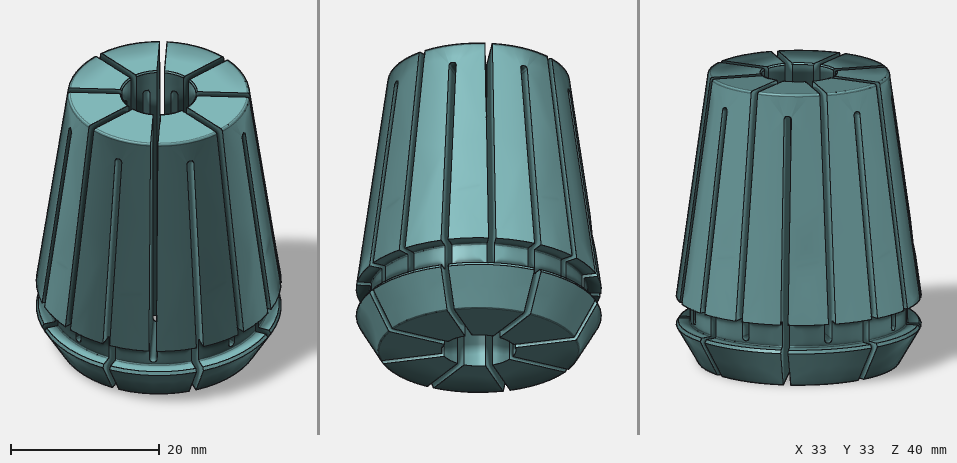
import cadquery as cq
import math

total_height = 40.0
max_radius = 16.5
bore_diameter = 10.0

cone_base_z = 9.1
cone_half_angle = math.radians(7.9)
top_edge_fillet = 0.3
bore_edge_chamfer = 0.2

groove_radius = 14.6
groove_floor_z = 5.55
groove_corner_fillet = 0.15

flange_rim_z = 5.1
flange_half_angle = math.radians(30)
flange_edge_inset = 0.3
base_edge_fillet = 0.2

slot_count = 8
slot_width = 1.0
base_slot_end_z = 37.1
top_slot_end_z = 6.0

match_tolerance = 0.005

bore_radius = bore_diameter / 2
cone_top_radius = max_radius - (total_height - cone_base_z) * math.tan(cone_half_angle)
flange_base_radius = max_radius - flange_rim_z * math.tan(flange_half_angle)


def revolved_body():
    """Bored body turned about Z from half of its section."""
    section = [
        (bore_radius, 0),
        (flange_base_radius, 0),
        (max_radius, flange_rim_z),
        (max_radius - flange_edge_inset, groove_floor_z),
        (groove_radius, groove_floor_z),
        (groove_radius, cone_base_z),
        (max_radius, cone_base_z),
        (cone_top_radius, total_height),
        (bore_radius + bore_edge_chamfer, total_height),
        (bore_radius, total_height - bore_edge_chamfer),
    ]
    return cq.Workplane("XZ").polyline(section).close().revolve(360, (0, 0, 0), (0, 1, 0))


def round_circular_edge(body, edge_radius, edge_z, fillet_radius):
    """Fillet the one circular edge about Z that has the given radius and height."""

    def is_wanted(edge):
        same_height = math.isclose(edge.Center().z, edge_z, abs_tol=match_tolerance)
        return same_height and math.isclose(edge.radius(), edge_radius, abs_tol=match_tolerance)

    return body.edges("%CIRCLE").filter(is_wanted).fillet(fillet_radius)


def slot_cutter(open_z, end_z):
    """Radial cutter along +X from the axis, flat at open_z and rounded at end_z."""
    half_width = slot_width / 2
    arc_start_z = end_z - math.copysign(half_width, end_z - open_z)
    return (
        cq.Workplane("YZ")
        .moveTo(-half_width, open_z)
        .lineTo(-half_width, arc_start_z)
        .threePointArc((0, end_z), (half_width, arc_start_z))
        .lineTo(half_width, open_z)
        .close()
        .extrude(max_radius)
    )


def cut_slot_ring(body, cutter, first_angle):
    """Cut the slot all around the axis at equal spacing."""
    for index in range(slot_count):
        angle = first_angle + index * 360 / slot_count
        body = body.cut(cutter.rotate((0, 0, 0), (0, 0, 1), angle))
    return body


base_slot = slot_cutter(0, base_slot_end_z)
top_slot = slot_cutter(total_height, top_slot_end_z)
half_slot_pitch = 180 / slot_count

result = revolved_body()
result = round_circular_edge(result, cone_top_radius, total_height, top_edge_fillet)
result = round_circular_edge(result, groove_radius, cone_base_z, groove_corner_fillet)
result = round_circular_edge(result, groove_radius, groove_floor_z, groove_corner_fillet)
result = round_circular_edge(result, flange_base_radius, 0, base_edge_fillet)
result = cut_slot_ring(result, base_slot, 0)
result = cut_slot_ring(result, top_slot, half_slot_pitch)